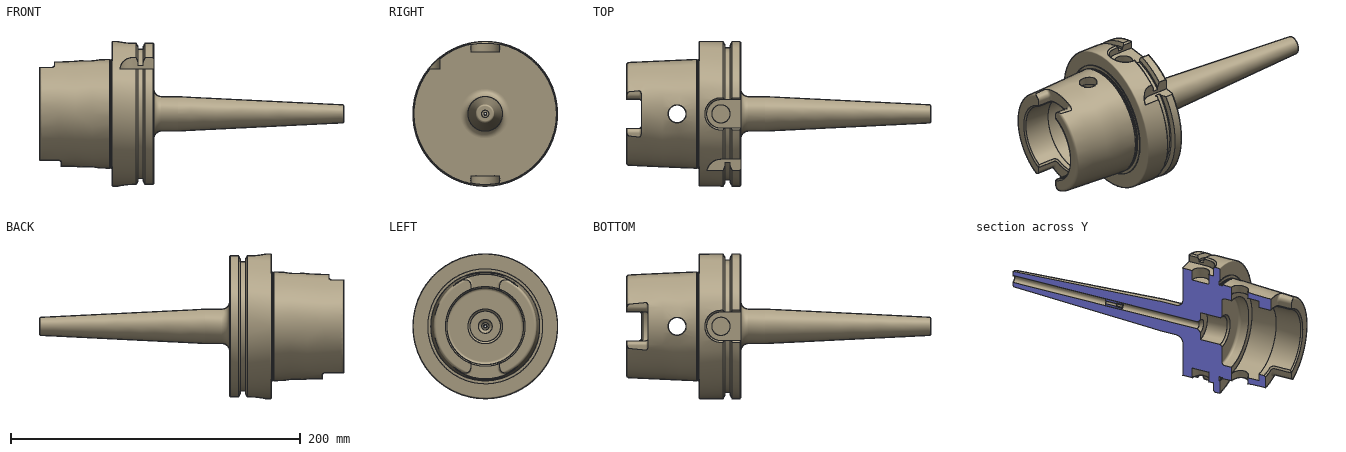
import cadquery as cq
import math

overall_length = 210.0
clearance = 2.0
tolerance = 0.2

x_axis = ((0, 0, 0), (1, 0, 0))

taper_nose_radius = 35.5
taper_slope = 0.045
nose_round = 1.9
relief_start = 48.0
relief_radius = 36.8
relief_ridge_radius = 37.5
relief_ridge_start = 49.1
relief_ridge_width = 0.5
relief_run = 0.5
face_recess_radius = 39.7
face_recess_depth = 0.6

flange_start = 50.0
flange_end = 79.0
flange_radius = 50.0
flange_front_round = 0.8
flange_back_chamfer = 0.8
groove_start = 66.5
groove_end = 72.9
groove_radius = 45.8
groove_chamfer_run = 1.5
groove_wall_radius = 47.2

neck_radius = 12.0
neck_fillet = 5.0
cone_start = 95.8
tip_radius = 6.3
tip_round = 1.3

mouth_radius = 26.5
mouth_chamfer = 1.0
recess_start = 20.0
recess_radius = 31.5
recess_end = 41.2
cavity_floor = 48.3
cavity_fillet = 1.9

coolant_radius = 10.5
coolant_chamfer = 1.5
coolant_floor = 65.0
countersink_radius = 4.8
bore_radius = 2.5

drive_half_width = 9.98
drive_round = 3.5
drive_shoulder_height = 32.1
drive_floor_fillet = 1.7
drive_depth_top = 10.3
drive_depth_bottom = 15.0

cross_hole_x = 34.9
cross_hole_radius = 6.0

key_half_width = 9.9
key_center_x = 65.0
key_floor = 42.8
key_chamfer = 1.3
key_hole_radius = 6.3
key_hole_depth = 7.5

notch_floor = 31.0
notch_wall = 31.3

screw_start = 126.0
screw_length = 12.5
screw_hole_radius = 0.8
socket_corner_diameter = 3.0
socket_depth = 4.2


def turned_blank():
    """Solid blank revolved about X from the outer half profile of the holder."""
    taper_end_radius = taper_nose_radius + taper_slope * relief_start
    relief_ridge_end = relief_ridge_start + relief_ridge_width
    face_recess_x = flange_start + face_recess_depth
    arc_center_x = flange_end + neck_fillet
    arc_center_r = neck_radius + neck_fillet
    arc_mid = (
        arc_center_x - neck_fillet * math.sqrt(0.5),
        arc_center_r - neck_fillet * math.sqrt(0.5),
    )
    profile = (
        cq.Workplane("XY")
        .lineTo(0, taper_nose_radius)
        .lineTo(relief_start, taper_end_radius)
        .lineTo(relief_start + relief_run, relief_radius)
        .lineTo(relief_ridge_start - relief_run, relief_radius)
        .lineTo(relief_ridge_start, relief_ridge_radius)
        .lineTo(relief_ridge_end, relief_ridge_radius)
        .lineTo(relief_ridge_end + relief_run, relief_radius)
        .lineTo(face_recess_x, relief_radius)
        .lineTo(face_recess_x, face_recess_radius)
        .lineTo(flange_start, face_recess_radius)
        .lineTo(flange_start, flange_radius - flange_front_round)
        .radiusArc((flange_start + flange_front_round, flange_radius), flange_front_round)
        .lineTo(flange_end - flange_back_chamfer, flange_radius)
        .lineTo(flange_end, flange_radius - flange_back_chamfer)
        .lineTo(flange_end, arc_center_r)
        .threePointArc(arc_mid, (arc_center_x, neck_radius))
        .lineTo(cone_start, neck_radius)
        .lineTo(overall_length, tip_radius)
        .lineTo(overall_length, 0)
        .close()
    )
    turned = profile.revolve(360, *x_axis)
    return turned.faces("<X").edges().fillet(nose_round).faces(">X").edges().fillet(tip_round)


def gripper_groove():
    """Ring that cuts the groove around the flange: upright walls that open out near the rim."""
    floor_start = groove_start + groove_chamfer_run
    floor_end = groove_end - groove_chamfer_run
    return (
        cq.Workplane("XY")
        .moveTo(groove_start, flange_radius)
        .lineTo(floor_start, groove_wall_radius)
        .lineTo(floor_start, groove_radius)
        .lineTo(floor_end, groove_radius)
        .lineTo(floor_end, groove_wall_radius)
        .lineTo(groove_end, flange_radius)
        .close()
        .revolve(360, *x_axis)
    )


def cavity():
    """Stepped hollow along the axis."""
    fillet_mid = cavity_fillet * (1 - math.sqrt(0.5))
    return (
        cq.Workplane("XY")
        .lineTo(0, mouth_radius)
        .lineTo(recess_start, mouth_radius)
        .lineTo(recess_start, recess_radius)
        .lineTo(recess_end, recess_radius)
        .lineTo(recess_end, mouth_radius)
        .lineTo(cavity_floor - cavity_fillet, mouth_radius)
        .threePointArc(
            (cavity_floor - fillet_mid, mouth_radius - fillet_mid),
            (cavity_floor, mouth_radius - cavity_fillet),
        )
        .lineTo(cavity_floor, coolant_radius + coolant_chamfer)
        .lineTo(cavity_floor + coolant_chamfer, coolant_radius)
        .lineTo(coolant_floor, coolant_radius)
        .lineTo(coolant_floor, countersink_radius)
        .lineTo(coolant_floor + countersink_radius - bore_radius, bore_radius)
        .lineTo(overall_length, bore_radius)
        .lineTo(overall_length, 0)
        .close()
        .revolve(360, *x_axis)
    )


def drive_slot(depth):
    """Cutter for a drive slot on the +Z side, its walls flaring in a quarter round to a level shoulder."""
    round_start = drive_shoulder_height - drive_round
    round_end = drive_half_width + drive_round
    inner_height = mouth_radius / 2
    outer_height = flange_radius
    outer_half_width = 2 * drive_half_width
    return (
        cq.Workplane("YZ")
        .moveTo(-drive_half_width, inner_height)
        .lineTo(drive_half_width, inner_height)
        .lineTo(drive_half_width, round_start)
        .radiusArc((round_end, drive_shoulder_height), drive_round)
        .lineTo(outer_half_width, drive_shoulder_height)
        .lineTo(outer_half_width, outer_height)
        .lineTo(-outer_half_width, outer_height)
        .lineTo(-outer_half_width, drive_shoulder_height)
        .lineTo(-round_end, drive_shoulder_height)
        .radiusArc((-drive_half_width, round_start), drive_round)
        .close()
        .extrude(depth)
        .faces(">X")
        .edges()
        .fillet(drive_floor_fillet)
    )


def round_ended_slot(half_width, center_y, floor):
    """Milled slot, open at the flange back, with a round end toward the taper."""
    length = flange_end + half_width - key_center_x
    height = flange_radius + clearance - floor
    block = cq.Workplane("XY").box(length, 2 * half_width, height, centered=(False, True, False))
    end = cq.Workplane("XY").circle(half_width).extrude(height)
    return block.union(end).translate((key_center_x, center_y, floor))


def cut_keyways(holder):
    """Two opposite flange keyways, each with a chamfered rim and a round blind hole in its floor."""
    slot = round_ended_slot(key_half_width, 0, key_floor)
    hole = (
        cq.Workplane("XY", origin=(key_center_x, 0, key_floor))
        .circle(key_hole_radius)
        .extrude(-key_hole_depth)
    )
    rim_low = math.sqrt(flange_radius**2 - key_half_width**2)
    rim_box = cq.selectors.BoxSelector(
        (flange_start, -key_half_width - tolerance, rim_low - tolerance),
        (flange_end - flange_back_chamfer + tolerance, key_half_width + tolerance, flange_radius + tolerance),
        boundingbox=True,
    )
    for _ in range(2):
        holder = holder.cut(slot).edges(rim_box).chamfer(key_chamfer).cut(hole)
        holder = holder.rotate(*x_axis, 180)
    return holder


def cut_shank_end(holder):
    """Drive slots, cavity and the chamfer that follows the whole edge of the cavity mouth."""
    holder = holder.cut(drive_slot(drive_depth_top))
    holder = holder.cut(drive_slot(drive_depth_bottom).rotate(*x_axis, 180))
    holder = holder.cut(cavity())
    reach = mouth_radius + tolerance
    mouth_box = cq.selectors.BoxSelector(
        (-tolerance, -reach, -reach), (drive_depth_bottom + tolerance, reach, reach), boundingbox=True
    )
    return holder.edges(mouth_box).chamfer(mouth_chamfer)


def cross_hole():
    """Round hole through both walls of the shank."""
    return (
        cq.Workplane("XY", origin=(cross_hole_x, 0, 0))
        .circle(cross_hole_radius)
        .extrude(flange_radius, both=True)
    )


def make_holder():
    """Tool holder body."""
    orientation_notch = round_ended_slot(key_half_width, -notch_wall - key_half_width, notch_floor)
    holder = cut_keyways(turned_blank())
    holder = holder.cut(gripper_groove()).cut(orientation_notch)
    return cut_shank_end(holder).cut(cross_hole())


def make_stop_screw():
    """Headless screw in the bore, with a hexagon socket and a coolant hole through it."""
    screw = cq.Workplane("YZ", origin=(screw_start, 0, 0)).circle(bore_radius).extrude(screw_length)
    socket = (
        cq.Workplane("YZ", origin=(screw_start, 0, 0))
        .polygon(6, socket_corner_diameter)
        .extrude(socket_depth)
    )
    coolant_hole = (
        cq.Workplane("YZ", origin=(screw_start, 0, 0)).circle(screw_hole_radius).extrude(screw_length)
    )
    return screw.cut(socket).cut(coolant_hole)


holder = make_holder()
stop_screw = make_stop_screw()
result = cq.Compound.makeCompound([holder.val(), stop_screw.val()])